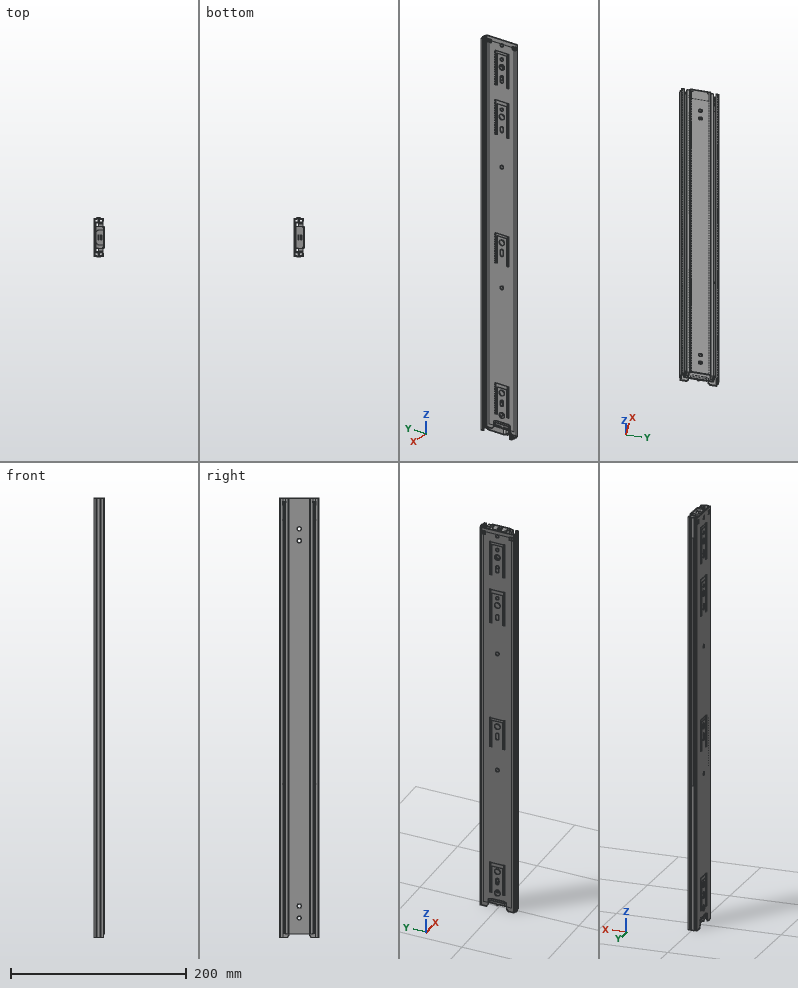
import cadquery as cq


LENGTH = 500.0
DEPTH = 12.5
HEIGHT = 45.0
TOP = LENGTH / 2
BOTTOM = -LENGTH / 2
BACK = -DEPTH / 2
SHEET = 1.25

OUTER_FLANGE_Y = 21.5
RACE_OUTER_Y = HEIGHT / 2
OUTER_FRONT = 5.0
RACE_START = -3.5
RACE_END = 2.0
RACE_SLOPE = 1.0
LIP_DEPTH = 3.0

MIDDLE_BACK = BACK + SHEET
MIDDLE_FRONT = 4.5
MIDDLE_FLANGE_Y = 17.5
MIDDLE_TOP = 245.0
MIDDLE_BOTTOM = -MIDDLE_TOP

INNER_BACK = -1.0
INNER_FRONT = DEPTH / 2
INNER_FLANGE_Y = 15.5
INNER_FLANGE_THICKNESS = 3.0
INNER_FLANGE_FRONT = 4.5
INNER_WEB_HALF = 11.5
INNER_BOTTOM = -246.0

RETAINER_BACK = -1.5
RETAINER_WIDTH = 1.5
RETAINER_TOP = 225.0
RETAINER_LENGTH = 300.0

STOP_BACK = MIDDLE_BACK + SHEET
STOP_HALF_BACK = 6.0
STOP_HALF_FRONT = 8.5
STOP_CORNER = 2.5
STOP_LENGTH = 15.0
STOP_SHOULDER = 2.5
STOP_SLOT_WIDTH = 1.0
STOP_SLOT_LENGTH = 5.0
STOP_SLOT_SPACING = 3.0

TONGUES = [
    (234.0, 190.5, 3.0),
    (171.0, 127.0, 4.5),
    (1.0, -37.0, 3.0),
    (-190.5, -230.0, 4.5),
]
TONGUE_HALF_OUTER = 9.5
TONGUE_SLOT_WIDTH = 1.5
TONGUE_BORDER = 1.5
TONGUE_GROOVE_DEPTH = 0.5

ROUND_HOLES = [
    (243.0, 4.0),
    (225.0, 4.0),
    (215.0, 7.0),
    (161.0, 4.0),
    (151.5, 7.0),
    (87.5, 4.5),
    (-9.0, 7.0),
    (-66.5, 4.5),
    (-201.0, 7.0),
    (-229.5, 7.0),
]
SLOT_HOLES = [
    (199.5, 9.5),
    (135.5, 7.5),
    (-22.0, 9.0),
    (-214.0, 8.0),
]
SLOT_HOLE_WIDTH = 4.0

ACCESS_HOLES = [215.0, 201.5, -214.0, -227.5]
ACCESS_DIAMETER = 4.5

WINDOW_Y = 17.5
WINDOW_Z = 244.0
WINDOW_WIDTH = 5.0
WINDOW_HEIGHT = 4.0

NOTCH_HALF_BOTTOM = 13.5
NOTCH_HALF = 11.5
NOTCH_HALF_TOP = 8.5
NOTCH_SHOULDER_Z = -240.0
NOTCH_TOP_Z = -238.5
NOTCH_FLARE_Z = -247.0
BUMPER_HALF = 9.5
BUMPER_TOP_Z = -241.0
BUMPER_BOTTOM_Z = -244.0
BUMPER_NOSE_HALF = 2.0
BUMPER_NOSE_Z = -246.0


def box_between(x_range, y_range, z_range):
    """A box given by its limits along each axis."""
    lows, highs = zip(x_range, y_range, z_range)
    sizes = [high - low for low, high in zip(lows, highs)]
    return cq.Workplane("XY").box(*sizes, centered=False).translate(lows)


def extrude_section(points, bottom, top):
    """Extrude an outline in X and Y from one height to another."""
    return cq.Workplane("XY", origin=(0, 0, bottom)).polyline(points).close().extrude(top - bottom)


def symmetric(half):
    """Complete an outline whose +half is listed in order with its mirrored other half."""
    return half + [(x, -y) for x, y in reversed(half)]


def web_plane():
    """The plane of the outer back face: local x runs along Y, local y along Z."""
    return cq.Workplane("YZ", origin=(BACK, 0, 0))


def drill_access_holes(rail):
    """Cut the screw holes along X through the middle or inner web."""
    points = [(0, z) for z in ACCESS_HOLES]
    return rail.cut(web_plane().pushPoints(points).circle(ACCESS_DIAMETER / 2).extrude(DEPTH))


def outer_section():
    """C section with a raised ball race in each flange and a lip at each front edge."""
    inside_y = OUTER_FLANGE_Y - SHEET
    race_inside_y = RACE_OUTER_Y - SHEET
    lip_y = OUTER_FLANGE_Y - LIP_DEPTH
    return symmetric([
        (BACK, OUTER_FLANGE_Y),
        (RACE_START, OUTER_FLANGE_Y),
        (RACE_START + RACE_SLOPE, RACE_OUTER_Y),
        (RACE_END - RACE_SLOPE, RACE_OUTER_Y),
        (RACE_END, OUTER_FLANGE_Y),
        (OUTER_FRONT, OUTER_FLANGE_Y),
        (OUTER_FRONT, lip_y),
        (OUTER_FRONT - SHEET, lip_y),
        (OUTER_FRONT - SHEET, inside_y),
        (RACE_END, inside_y),
        (RACE_END - RACE_SLOPE, race_inside_y),
        (RACE_START + RACE_SLOPE, race_inside_y),
        (RACE_START, inside_y),
        (BACK + SHEET, inside_y),
    ])


def tongue_cut(top, bottom, groove_height):
    """Two long slots beside a latch tongue, with a shallow groove along its sides and its head."""
    half_groove = TONGUE_HALF_OUTER - TONGUE_SLOT_WIDTH
    half_tongue = half_groove - TONGUE_BORDER
    groove_floor = BACK + TONGUE_GROOVE_DEPTH
    groove = box_between((BACK, groove_floor), (-half_groove, half_groove), (bottom, top))
    tongue = box_between((BACK, groove_floor), (-half_tongue, half_tongue), (bottom, top - groove_height))
    cut = groove.cut(tongue)
    for y in (-TONGUE_HALF_OUTER, half_groove):
        cut = cut.union(box_between((BACK, BACK + SHEET), (y, y + TONGUE_SLOT_WIDTH), (bottom, top)))
    return cut


def notch_cut():
    """Stepped notch, flared at its mouth, in the bottom of the outer web."""
    half = [
        (NOTCH_HALF_BOTTOM, BOTTOM),
        (NOTCH_HALF, NOTCH_FLARE_Z),
        (NOTCH_HALF, NOTCH_SHOULDER_Z),
        (NOTCH_HALF_TOP, NOTCH_TOP_Z),
    ]
    outline = half + [(-y, z) for y, z in reversed(half)]
    return web_plane().polyline(outline).close().extrude(SHEET)


def make_outer_rail():
    rail = extrude_section(outer_section(), BOTTOM, TOP)
    for top, bottom, groove_height in TONGUES:
        rail = rail.cut(tongue_cut(top, bottom, groove_height))
    for z, diameter in ROUND_HOLES:
        rail = rail.cut(web_plane().center(0, z).circle(diameter / 2).extrude(SHEET))
    for z, length in SLOT_HOLES:
        slot = web_plane().center(0, z).slot2D(length, SLOT_HOLE_WIDTH, 90).extrude(SHEET)
        rail = rail.cut(slot)
    window_centres = [(side * WINDOW_Y, WINDOW_Z) for side in (-1, 1)]
    windows = web_plane().pushPoints(window_centres).rect(WINDOW_WIDTH, WINDOW_HEIGHT)
    rail = rail.cut(windows.extrude(SHEET))
    return rail.cut(notch_cut())


def make_middle_rail():
    """C section that opens toward +X, inside the outer rail."""
    inside_y = MIDDLE_FLANGE_Y - SHEET
    section = symmetric([
        (MIDDLE_BACK, MIDDLE_FLANGE_Y),
        (MIDDLE_FRONT, MIDDLE_FLANGE_Y),
        (MIDDLE_FRONT, inside_y),
        (MIDDLE_BACK + SHEET, inside_y),
    ])
    return drill_access_holes(extrude_section(section, MIDDLE_BOTTOM, MIDDLE_TOP))


def make_inner_rail():
    """C section that opens toward -X, with sloping shoulders between web and flanges."""
    inside_y = INNER_FLANGE_Y - INNER_FLANGE_THICKNESS
    section = symmetric([
        (INNER_FRONT, INNER_WEB_HALF),
        (INNER_FLANGE_FRONT, INNER_WEB_HALF + SHEET),
        (INNER_FLANGE_FRONT, INNER_FLANGE_Y),
        (INNER_BACK, INNER_FLANGE_Y),
        (INNER_BACK, inside_y),
        (INNER_FLANGE_FRONT - SHEET, inside_y),
        (INNER_FRONT - SHEET, INNER_WEB_HALF - SHEET),
    ])
    return drill_access_holes(extrude_section(section, INNER_BOTTOM, TOP))


def make_retainer(side):
    """Ball retainer strip that fills the gap between a race and the middle rail."""
    near = side * MIDDLE_FLANGE_Y
    far = side * (RACE_OUTER_Y - SHEET)
    return box_between(
        (RETAINER_BACK, RETAINER_BACK + RETAINER_WIDTH),
        (min(near, far), max(near, far)),
        (RETAINER_TOP - RETAINER_LENGTH, RETAINER_TOP),
    )


def make_stop_block():
    """Block with a narrower head and two slots, that fills the inner rail up to the middle web."""
    front = INNER_FRONT - SHEET
    foot = TOP - STOP_LENGTH
    base_half = INNER_FLANGE_Y - INNER_FLANGE_THICKNESS
    base_section = symmetric([
        (STOP_BACK, base_half),
        (INNER_FLANGE_FRONT - SHEET, base_half),
        (front, INNER_WEB_HALF - SHEET),
    ])
    base = extrude_section(base_section, foot, TOP - STOP_SHOULDER)
    head_section = symmetric([
        (STOP_BACK, STOP_HALF_BACK),
        (STOP_BACK + STOP_CORNER, STOP_HALF_FRONT),
        (front, STOP_HALF_FRONT),
    ])
    block = base.union(extrude_section(head_section, foot, TOP))
    middle_x = (STOP_BACK + front) / 2
    centres = [(middle_x + side * STOP_SLOT_SPACING / 2, 0) for side in (-1, 1)]
    slots = cq.Workplane("XY", origin=(0, 0, foot)).pushPoints(centres)
    return block.cut(slots.rect(STOP_SLOT_WIDTH, STOP_SLOT_LENGTH).extrude(STOP_LENGTH))


def make_bumper():
    """Plate on the middle web in the head of the bottom notch, with a pointed nose."""
    half = [
        (BUMPER_NOSE_HALF, BUMPER_BOTTOM_Z),
        (BUMPER_HALF, BUMPER_BOTTOM_Z),
        (BUMPER_HALF, BUMPER_TOP_Z),
    ]
    outline = [(0, BUMPER_NOSE_Z)] + half + [(-y, z) for y, z in reversed(half)]
    return web_plane().polyline(outline).close().extrude(SHEET)


outer_rail = make_outer_rail()
middle_rail = make_middle_rail()
inner_rail = make_inner_rail()
retainers = [make_retainer(side) for side in (-1, 1)]
stop_block = make_stop_block()
bumper = make_bumper()

result = cq.Compound.makeCompound([
    outer_rail.val(),
    middle_rail.val(),
    inner_rail.val(),
    *[retainer.val() for retainer in retainers],
    stop_block.val(),
    bumper.val(),
])